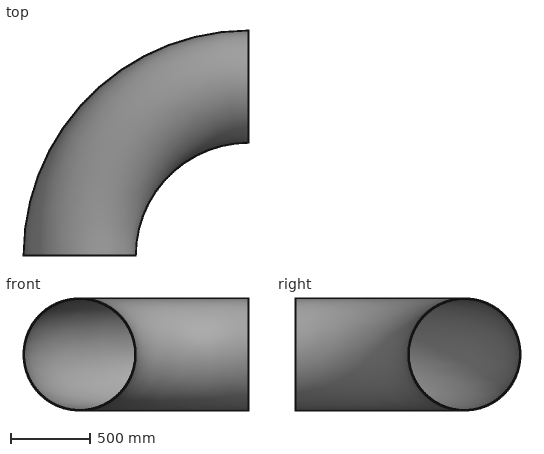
import cadquery as cq

outer_reach = 1423.0
outer_diameter = 711.0
wall_thickness = 6.0
bend_angle = 90.0

outer_radius = outer_diameter / 2
inner_radius = outer_radius - wall_thickness
bend_radius = outer_reach - outer_radius

pipe_section = (
    cq.Workplane("XZ")
    .center(-bend_radius, 0)
    .circle(outer_radius)
    .circle(inner_radius)
)

axis_start = (bend_radius, 0)
axis_end = (bend_radius, -1)
result = pipe_section.revolve(bend_angle, axis_start, axis_end)